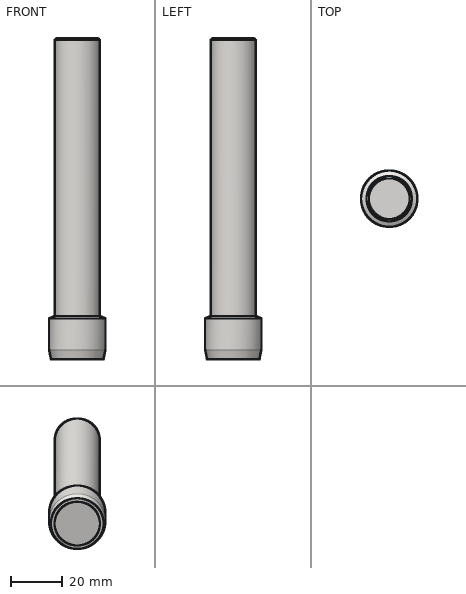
import cadquery as cq

pin_length = 125.0
pin_diameter = 17.6
pin_chamfer = 0.9
collar_diameter = 22.0
collar_foot_diameter = 20.5
collar_foot_height = 3.8
collar_shoulder_height = 16.0
collar_height = 16.9

pin_radius = pin_diameter / 2
collar_radius = collar_diameter / 2
collar_foot_radius = collar_foot_diameter / 2


def make_pin():
    """Straight round pin, chamfered at its upper end."""
    pin = cq.Workplane("XY").circle(pin_radius).extrude(pin_length)
    return pin.faces(">Z").chamfer(pin_chamfer)


def make_collar():
    """Ring around the lower end of the pin, with a tapered foot and a sloped top."""
    half_section = (
        cq.Workplane("XZ")
        .moveTo(pin_radius, 0)
        .lineTo(collar_foot_radius, 0)
        .lineTo(collar_radius, collar_foot_height)
        .lineTo(collar_radius, collar_shoulder_height)
        .lineTo(pin_radius, collar_height)
        .close()
    )
    return half_section.revolve(360, (0, 0, 0), (0, 1, 0))


pin = make_pin()
collar = make_collar()

result = cq.Compound.makeCompound([pin.val(), collar.val()])